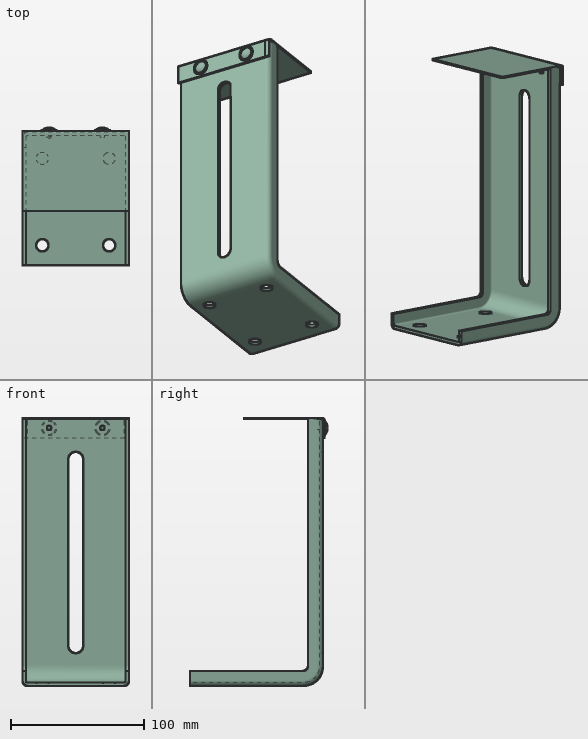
import cadquery as cq

width = 80.0
total_height = 201.0
foot_length = 99.9
wall = 2.6
lip_height = 11.5
bend_radius = 15.0
edge_inner_radius = 1.5
edge_outer_radius = edge_inner_radius + wall

sheet = 1.0
cover_length = 60.3
cover_flange_height = 15.0
cover_bend_radius = 2.0
bracket_height = total_height - sheet

slot_width = 11.0
slot_length = 150.8
slot_bottom = 24.7

hole_diameter = 9.0
hole_spacing_x = 50.0
hole_spacing_y = 65.1
hole_tip_distance = 15.0

rivet_spacing = 40.0
rivet_drop = cover_flange_height / 2
head_diameter = 11.5
head_height = 2.5
rim_height = 0.5
dome_diameter = 9.6
shank_diameter = 3.5
shank_protrusion = 2.0
shank_dome_height = 1.2


def angle_body(inset, depth, body_width, edge_radius):
    """L-shaped bar between two offsets from the outer face, rounded along its outer edges."""
    outer_bend = bend_radius - inset
    inner_bend = bend_radius - depth
    body = (
        cq.Workplane("YZ")
        .moveTo(-inset, bracket_height)
        .lineTo(-inset, bend_radius)
        .radiusArc((-bend_radius, inset), outer_bend)
        .lineTo(-foot_length, inset)
        .lineTo(-foot_length, depth)
        .lineTo(-bend_radius, depth)
        .radiusArc((-depth, bend_radius), -inner_bend)
        .lineTo(-depth, bracket_height)
        .close()
        .extrude(body_width / 2, both=True)
    )
    back_edges = cq.selectors.BoxSelector(
        (-width, -inset - 0.2, bend_radius + 2), (width, -inset + 0.2, bracket_height - 2)
    )
    return body.edges(back_edges).fillet(edge_radius)


def make_bracket():
    outside = angle_body(0, lip_height, width, edge_outer_radius)
    inside = angle_body(wall, lip_height, width - 2 * wall, edge_inner_radius)
    return outside.cut(inside)


def make_slot():
    return (
        cq.Workplane("XZ")
        .center(0, slot_bottom + slot_length / 2)
        .slot2D(slot_length, slot_width, 90)
        .extrude(lip_height)
    )


def make_foot_holes():
    center_y = -foot_length + hole_tip_distance + hole_spacing_y / 2
    return (
        cq.Workplane("XY")
        .center(0, center_y)
        .rarray(hole_spacing_x, hole_spacing_y, 2, 2)
        .circle(hole_diameter / 2)
        .extrude(lip_height)
    )


def make_cover():
    front = sheet - cover_length
    flange_bottom = total_height - cover_flange_height
    inner_bend = cover_bend_radius - sheet
    return (
        cq.Workplane("YZ")
        .moveTo(front, total_height)
        .lineTo(sheet - cover_bend_radius, total_height)
        .radiusArc((sheet, total_height - cover_bend_radius), cover_bend_radius)
        .lineTo(sheet, flange_bottom)
        .lineTo(0, flange_bottom)
        .lineTo(0, total_height - cover_bend_radius)
        .radiusArc((-inner_bend, bracket_height), -inner_bend)
        .lineTo(front, bracket_height)
        .close()
        .extrude(width / 2, both=True)
    )


def make_rivet(x):
    """Rivet along Y with a rimmed, domed head behind the cover and a domed tip inside the bracket."""
    head_radius = head_diameter / 2
    shank_radius = shank_diameter / 2
    tip_y = -wall - shank_protrusion
    dome_start = tip_y + shank_dome_height
    dome_radius = dome_diameter / 2
    dome_height = head_height - rim_height
    head_sphere = (dome_radius**2 + dome_height**2) / (2 * dome_height)
    tip_sphere = (shank_radius**2 + shank_dome_height**2) / (2 * shank_dome_height)
    return (
        cq.Workplane("XY")
        .moveTo(0, tip_y)
        .radiusArc((shank_radius, dome_start), -tip_sphere)
        .lineTo(shank_radius, sheet)
        .lineTo(head_radius, sheet)
        .lineTo(head_radius, sheet + rim_height)
        .lineTo(dome_radius, sheet + rim_height)
        .radiusArc((0, sheet + head_height), -head_sphere)
        .close()
        .revolve(360, (0, 0, 0), (0, 1, 0))
        .translate((x, 0, total_height - rivet_drop))
    )


result = make_bracket().cut(make_slot()).cut(make_foot_holes()).union(make_cover())
for side in (-1, 1):
    result = result.union(make_rivet(side * rivet_spacing / 2))